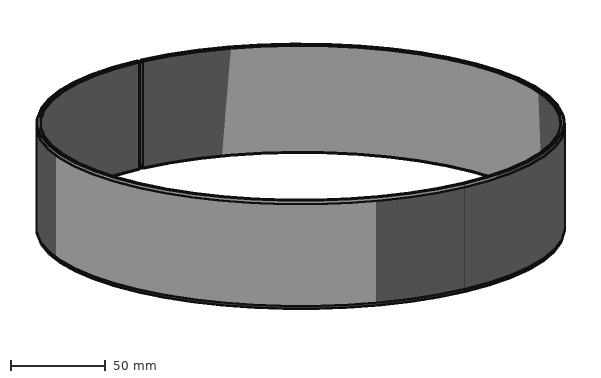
import cadquery as cq
import math

outer_diameter = 280.0
inner_diameter = 275.0
height = 60.0
outer_bevel_height = 1.8
outer_bevel_angle = 20.0
inner_bevel_height = 0.6
inner_bevel_angle = 30.0
slit_angle = 1.0
wall_clearance = 5.0

outer_radius = outer_diameter / 2
inner_radius = inner_diameter / 2
outer_bevel_depth = outer_bevel_height * math.tan(math.radians(outer_bevel_angle))
inner_bevel_depth = inner_bevel_height * math.tan(math.radians(inner_bevel_angle))


def make_ring():
    """Thin ring standing on Z = 0, its wall bevelled at all four corners."""
    outer_rim = outer_radius - outer_bevel_depth
    inner_rim = inner_radius + inner_bevel_depth
    wall_section = [
        (inner_rim, 0),
        (outer_rim, 0),
        (outer_radius, outer_bevel_height),
        (outer_radius, height - outer_bevel_height),
        (outer_rim, height),
        (inner_rim, height),
        (inner_radius, height - inner_bevel_height),
        (inner_radius, inner_bevel_height),
    ]
    section = cq.Workplane("XZ").polyline(wall_section).close()
    return section.revolve(360, (0, 0, 0), (0, 1, 0))


def make_slit():
    """Full-height wedge through the -X wall, on the +Y side of the XZ plane."""
    wedge_length = outer_radius + wall_clearance
    wedge_width = wedge_length * math.tan(math.radians(slit_angle))
    outline = [(0, 0), (-wedge_length, 0), (-wedge_length, wedge_width)]
    return cq.Workplane("XY").polyline(outline).close().extrude(height)


result = make_ring().cut(make_slit())